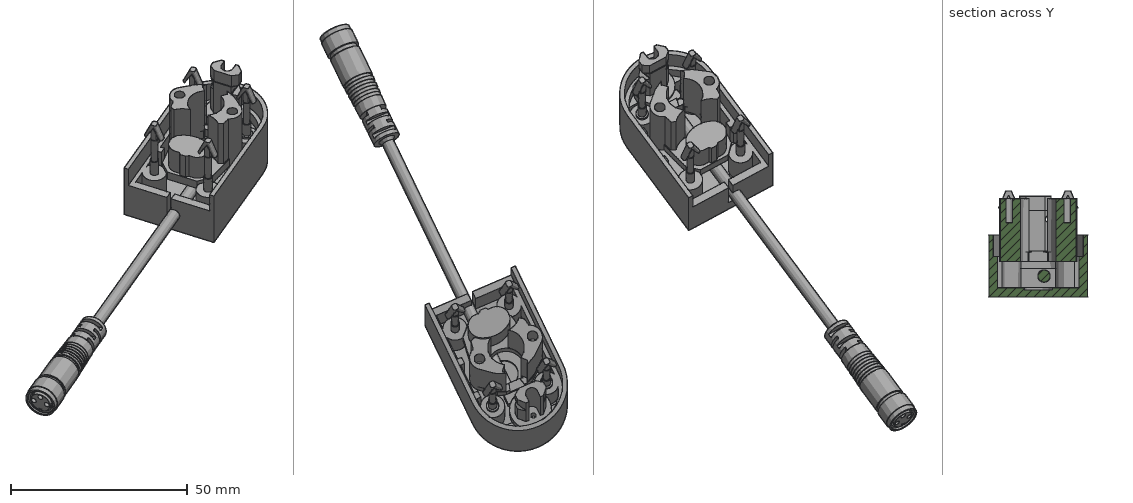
import cadquery as cq
import math

HOUSING_WIDTH = 28.2
HOUSING_RADIUS = HOUSING_WIDTH / 2
HOUSING_LENGTH = 46.6
WALL_TOP = 17.6
LEDGE_TOP = 11.5
FLOOR_TOP = 2.7
RIM_THICKNESS = 1.4
WALL_THICKNESS = 2.6
FRONT_WALL_THICKNESS = 2.3
ARC_CENTER_Y = HOUSING_LENGTH - HOUSING_RADIUS
TAB_DEPTH = 1.2
TAB_LENGTH = 2.0
TAB_CENTERS_Y = (17.7, 28.8)
REAR_SHELF_Y = 39.4
REAR_SHELF_TOP = 8.1
FLOOR_RECESS_Y = 23.3
FLOOR_RECESS_DIAMETER = 7.9
FLOOR_RECESS_DEPTH = 0.7

PIN_X = 8.4
PIN_FRONT_Y = 8.1
PIN_REAR_Y = 33.7
PIN_BOSS_DIAMETER = 6.9
REAR_COLLAR_DIAMETER = 3.5
REAR_COLLAR_HEIGHT = 0.7
PIN_BASE_DIAMETER = 2.5
PIN_BASE_TOP = 16.4
PIN_SHAFT_DIAMETER = 1.9
PIN_SHOULDER = 24.2
PIN_TOP = 30.0
PIN_CORE_WIDTH = 1.6
PIN_CORE_DEPTH = 1.4
BARB_BOTTOM = 24.9
BARB_REACH = 2.8
BARB_THICKNESS = 0.7
BARB_DEPTH = 1.9
CAP_HALF_WIDTH = 0.8
CAP_HEIGHT = 1.2
BARB_ROUNDING = 0.5

PLATE_TOP = 12.7
PLATE_BOTTOM = 10.0
PLATE_FRONT_Y = 8.7
PLATE_REAR_Y = 31.8
OPENING_CENTER_Y = 24.5
OPENING_RADIUS = 5.1
OPENING_HALF_WIDTH = 2.8
OPENING_REAR_Y = 29.8
OPENING_FRONT_Y = 19.4
CRESCENT_TOP = 27.9
CRESCENT_HOLE_X = 8.3
CRESCENT_HOLE_DIAMETER = 3.0
CRESCENT_HOLE_DEPTH = 6.8
BRIDGE_FRONT_Y = 32.4
BRIDGE_TOP = 12.2
BRIDGE_TAB_TOP = 13.0
OVAL_TOP = 20.6
OVAL_FRONT_Y = 9.6
OVAL_TONGUE_Y = 9.0

LATCH_X = -0.8
LATCH_PAD_Y = 39.4
LATCH_PAD_DIAMETER = 11.9
LATCH_TOP = 28.6
LATCH_FRONT_Y = 37.4
LATCH_REAR_Y = 42.3
LATCH_SIDE_FRONT_Y = 38.7
LATCH_SIDE_REAR_Y = 40.4
LATCH_HALF_WIDTH = 4.5
LATCH_FACE_HALF_WIDTH = 2.7
LATCH_STEP_Z = 24.5
LATCH_STEP = 0.3
LATCH_SLOT_WIDTH = 3.5
LATCH_SLOT_BOTTOM_Y = 38.6
LATCH_GROOVE_BOTTOM = 20.6
LATCH_GROOVE_TOP = 24.8
LATCH_GROOVE_FLOOR_BOTTOM = 21.7
LATCH_GROOVE_FLOOR_TOP = 22.2
LATCH_GROOVE_DEPTH = 1.6
SMALL_HOLE_DIAMETER = 1.5
SMALL_HOLES_Y = (35.8, 41.5)

CABLE_X = 1.6
CABLE_Z = 6.0
CABLE_DIAMETER = 3.5
CABLE_REAR_Y = 30.5
CABLE_SLOT_WIDTH = 1.4
CABLE_SLOT_BOTTOM = 3.5
PLUG_END_Y = HOUSING_LENGTH - 135.4
COLLAR_START_Y = -52.4
COLLAR_END_DIAMETER = 4.9
RELIEF_START_Y = -53.4
RELIEF_DIAMETER = 7.9
RELIEF_WEB = 4.0
GRIP_START_Y = -62.6
RELIEF_SLOTS = (
    (-54.6, -55.8, 0),
    (-57.0, -57.8, 90),
    (-59.0, -60.1, 0),
    (-61.3, GRIP_START_Y, 90),
)
GRIP_START_DIAMETER = 8.1
GRIP_END_Y = -74.0
PLUG_DIAMETER = 9.1
GRIP_GROOVE_START_Y = -65.8
GRIP_GROOVE_PITCH = 2.0
GRIP_GROOVE_WIDTH = GRIP_GROOVE_PITCH / 2
GRIP_GROOVE_COUNT = 4
GRIP_GROOVE_DIAMETER = 8.1
NUT_GROOVE_START_Y = -81.7
NUT_START_Y = -82.9
NUT_DIAMETER = 9.5
NUT_LIP_Y = -87.4
SOCKET_DIAMETER = 8.1
SOCKET_RIM_DEPTH = 0.7
SOCKET_INNER_DIAMETER = 6.9
SOCKET_DEPTH = 2.0
INSERT_DIAMETER = 6.0
KEYWAY_WIDTH = 0.9
KEYWAY_DEPTH = 0.7
CONTACT_DIAMETER = 1.5
CONTACT_RADIUS = 2.0
CONTACT_DEPTH = 2.7


def slab(outline, bottom, top):
    """Extrude a closed XY outline between two heights."""
    return outline.extrude(top - bottom).translate((0, 0, bottom))


def box(x_min, x_max, y_min, y_max, z_min, z_max):
    """Box given by its limits on the three axes."""
    size = (x_max - x_min, y_max - y_min, z_max - z_min)
    return cq.Workplane("XY").box(*size, centered=False).translate((x_min, y_min, z_min))


def rod(x, y, diameter, bottom, top):
    """Vertical cylinder."""
    return slab(cq.Workplane("XY").center(x, y).circle(diameter / 2), bottom, top)


def arch(half_width, front_y):
    """Outline with a straight front and a rear half circle about the housing arc center."""
    return (
        cq.Workplane("XY")
        .moveTo(-half_width, front_y)
        .lineTo(half_width, front_y)
        .lineTo(half_width, ARC_CENTER_Y)
        .threePointArc((0, ARC_CENTER_Y + half_width), (-half_width, ARC_CENTER_Y))
        .close()
    )


def mirrored_pair(solid):
    """A solid together with its mirror image across X = 0."""
    return solid.union(solid.mirror("YZ"))


def make_pocket():
    """Space inside the tray below the ledge, with side tabs and a rear shelf left standing."""
    half_width = HOUSING_RADIUS - WALL_THICKNESS
    pocket = slab(arch(half_width, FRONT_WALL_THICKNESS), FLOOR_TOP, LEDGE_TOP)
    for y in TAB_CENTERS_Y:
        tab = box(half_width - TAB_DEPTH, half_width, y - TAB_LENGTH / 2, y + TAB_LENGTH / 2,
                  FLOOR_TOP, LEDGE_TOP)
        pocket = pocket.cut(mirrored_pair(tab))
    shelf = box(-half_width, half_width, REAR_SHELF_Y, HOUSING_LENGTH, FLOOR_TOP, REAR_SHELF_TOP)
    return pocket.cut(shelf)


def make_housing(pocket):
    body = slab(arch(HOUSING_RADIUS, 0), 0, WALL_TOP)
    rim_space = slab(arch(HOUSING_RADIUS - RIM_THICKNESS, 0), LEDGE_TOP, WALL_TOP)
    recess = rod(0, FLOOR_RECESS_Y, FLOOR_RECESS_DIAMETER, FLOOR_TOP - FLOOR_RECESS_DEPTH, FLOOR_TOP)
    slot = box(-CABLE_SLOT_WIDTH / 2, CABLE_SLOT_WIDTH / 2, 0, FRONT_WALL_THICKNESS,
               CABLE_SLOT_BOTTOM, LEDGE_TOP)
    return body.cut(rim_space).cut(pocket).cut(recess).cut(slot)


def make_pin():
    """Snap pin on the Z axis: stepped shaft, narrow core and two barbs spreading downward."""
    shaft = rod(0, 0, PIN_BASE_DIAMETER, LEDGE_TOP, PIN_BASE_TOP)
    shaft = shaft.union(rod(0, 0, PIN_SHAFT_DIAMETER, PIN_BASE_TOP, PIN_SHOULDER))
    core = box(-PIN_CORE_WIDTH / 2, PIN_CORE_WIDTH / 2, -PIN_CORE_DEPTH / 2, PIN_CORE_DEPTH / 2,
               PIN_SHOULDER, PIN_TOP)
    barb_end_z = BARB_BOTTOM + BARB_THICKNESS / 2
    outer_slope = cq.Vector(BARB_REACH - CAP_HALF_WIDTH, 0, barb_end_z - PIN_TOP)
    barb = (
        cq.Workplane("XZ")
        .polyline([
            (0, PIN_TOP),
            (CAP_HALF_WIDTH, PIN_TOP),
            (BARB_REACH, barb_end_z),
            (BARB_REACH - BARB_THICKNESS, BARB_BOTTOM),
            (0, PIN_TOP - CAP_HEIGHT),
        ])
        .close()
        .extrude(BARB_DEPTH / 2, both=True)
        .edges(cq.selectors.ParallelDirSelector(outer_slope))
        .fillet(BARB_ROUNDING)
    )
    return shaft.union(core).union(mirrored_pair(barb))


def make_pin_bosses(pocket):
    """Four round bosses, trimmed where they run into the tray wall."""
    bosses = None
    for x in (-PIN_X, PIN_X):
        for y in (PIN_FRONT_Y, PIN_REAR_Y):
            boss = rod(x, y, PIN_BOSS_DIAMETER, FLOOR_TOP, LEDGE_TOP)
            bosses = boss if bosses is None else bosses.union(boss)
    return bosses.intersect(pocket)


def make_crescents():
    """Two mirrored posts whose inner sides wrap around the plate opening."""
    crescent = (
        cq.Workplane("XY")
        .moveTo(-2.6, 29.0)
        .lineTo(-3.9, 30.6)
        .lineTo(-3.3, 31.7)
        .lineTo(-6.2, 30.2)
        .lineTo(-9.9, 27.1)
        .threePointArc((-11.0, 24.5), (-9.5, 21.5))
        .lineTo(-8.7, 21.1)
        .lineTo(-8.3, 18.7)
        .lineTo(-6.9, 18.0)
        .threePointArc((-4.9, 19.5), (-2.7, 20.0))
        .threePointArc((-OPENING_RADIUS, OPENING_CENTER_Y), (-2.6, 29.0))
        .close()
    )
    post = slab(crescent, PLATE_BOTTOM, CRESCENT_TOP)
    hole = rod(-CRESCENT_HOLE_X, OPENING_CENTER_Y, CRESCENT_HOLE_DIAMETER,
               CRESCENT_TOP - CRESCENT_HOLE_DEPTH, CRESCENT_TOP)
    return mirrored_pair(post.cut(hole))


def make_plate():
    """Carrier plate spanning the pin bosses, open above the cable."""
    outline = (
        cq.Workplane("XY")
        .polyline([
            (-4.6, PLATE_FRONT_Y), (4.6, PLATE_FRONT_Y), (7.6, 11.6), (9.0, 21.3), (9.9, 27.1),
            (5.5, 30.9), (3.3, PLATE_REAR_Y), (-3.3, PLATE_REAR_Y), (-5.5, 30.9),
            (-9.9, 27.1), (-9.0, 21.3), (-7.6, 11.6),
        ])
        .close()
    )
    plate = slab(outline, PLATE_BOTTOM, PLATE_TOP)
    opening = rod(0, OPENING_CENTER_Y, 2 * OPENING_RADIUS, PLATE_BOTTOM, PLATE_TOP)
    opening = opening.union(box(-OPENING_HALF_WIDTH, OPENING_HALF_WIDTH, OPENING_CENTER_Y, OPENING_REAR_Y,
                                PLATE_BOTTOM, PLATE_TOP))
    opening = opening.intersect(box(-OPENING_RADIUS, OPENING_RADIUS, OPENING_FRONT_Y, OPENING_REAR_Y,
                                    PLATE_BOTTOM, PLATE_TOP))
    return plate.cut(opening)


def make_oval():
    """Low rounded block near the front of the plate, with a small tongue on its front side."""
    outline = (
        cq.Workplane("XY")
        .moveTo(-2.8, OVAL_FRONT_Y)
        .lineTo(-1.2, OVAL_FRONT_Y)
        .lineTo(-0.8, OVAL_TONGUE_Y)
        .lineTo(1.0, OVAL_TONGUE_Y)
        .lineTo(1.8, OVAL_FRONT_Y)
        .lineTo(3.4, OVAL_FRONT_Y)
        .threePointArc((6.2, 12.7), (4.9, 16.1))
        .threePointArc((0.1, 17.6), (-4.6, 16.1))
        .threePointArc((-6.0, 12.7), (-2.8, OVAL_FRONT_Y))
        .close()
    )
    return slab(outline, PLATE_BOTTOM, OVAL_TOP)


def make_latch():
    """Eight-sided post with a rear U slot and side grooves, standing on a round pad."""
    def eight_sided(front_y):
        return (
            cq.Workplane("XY")
            .polyline([
                (-LATCH_FACE_HALF_WIDTH, front_y), (LATCH_FACE_HALF_WIDTH, front_y),
                (LATCH_HALF_WIDTH, LATCH_SIDE_FRONT_Y), (LATCH_HALF_WIDTH, LATCH_SIDE_REAR_Y),
                (LATCH_FACE_HALF_WIDTH, LATCH_REAR_Y), (-LATCH_FACE_HALF_WIDTH, LATCH_REAR_Y),
                (-LATCH_HALF_WIDTH, LATCH_SIDE_REAR_Y), (-LATCH_HALF_WIDTH, LATCH_SIDE_FRONT_Y),
            ])
            .close()
        )

    post = slab(eight_sided(LATCH_FRONT_Y), PLATE_BOTTOM, LATCH_TOP)
    post = post.union(slab(eight_sided(LATCH_FRONT_Y - LATCH_STEP), PLATE_BOTTOM, LATCH_STEP_Z))
    slot_center_y = LATCH_SLOT_BOTTOM_Y + LATCH_SLOT_WIDTH / 2
    post = post.cut(rod(0, slot_center_y, LATCH_SLOT_WIDTH, PLATE_TOP, LATCH_TOP))
    post = post.cut(box(-LATCH_SLOT_WIDTH / 2, LATCH_SLOT_WIDTH / 2, slot_center_y, LATCH_REAR_Y,
                        PLATE_TOP, LATCH_TOP))
    groove = (
        cq.Workplane("XZ")
        .polyline([
            (LATCH_HALF_WIDTH, LATCH_GROOVE_BOTTOM),
            (LATCH_HALF_WIDTH, LATCH_GROOVE_TOP),
            (LATCH_HALF_WIDTH - LATCH_GROOVE_DEPTH, LATCH_GROOVE_FLOOR_TOP),
            (LATCH_HALF_WIDTH - LATCH_GROOVE_DEPTH, LATCH_GROOVE_FLOOR_BOTTOM),
        ])
        .close()
        .extrude(-HOUSING_LENGTH)
    )
    post = post.cut(mirrored_pair(groove)).translate((LATCH_X, 0, 0))
    pad = rod(LATCH_X, LATCH_PAD_Y, LATCH_PAD_DIAMETER, PLATE_BOTTOM, PLATE_TOP)
    inner_radius = HOUSING_RADIUS - WALL_THICKNESS
    pad_limit = slab(arch(inner_radius, FRONT_WALL_THICKNESS), PLATE_BOTTOM, PLATE_TOP)
    latch = pad.intersect(pad_limit).union(post)
    for y in SMALL_HOLES_Y:
        latch = latch.cut(rod(LATCH_X, y, SMALL_HOLE_DIAMETER, PLATE_BOTTOM, PLATE_TOP))
    return latch


def make_bridge():
    """Low wedge-shaped block and tapered tab between the latch pad and the carrier plate."""
    block_outline = (
        cq.Workplane("XY")
        .polyline([(-1.0, BRIDGE_FRONT_Y), (4.2, BRIDGE_FRONT_Y), (4.2, 35.2), (0.7, 35.2)])
        .close()
    )
    tab_outline = (
        cq.Workplane("XY")
        .polyline([
            (-1.9, OPENING_REAR_Y), (1.5, OPENING_REAR_Y),
            (2.3, BRIDGE_FRONT_Y), (-2.5, BRIDGE_FRONT_Y),
        ])
        .close()
    )
    block = slab(block_outline, PLATE_BOTTOM, BRIDGE_TOP)
    return block.union(slab(tab_outline, PLATE_BOTTOM, BRIDGE_TAB_TOP))


def along_cable(radius, start_y, end_y, end_radius=None):
    """Round or conical stretch on the cable axis, running toward -Y."""
    end_radius = radius if end_radius is None else end_radius
    return (
        cq.Workplane("XY")
        .polyline([(0, start_y), (radius, start_y), (end_radius, end_y), (0, end_y)])
        .close()
        .revolve(360, (0, 0, 0), (0, 1, 0))
        .translate((CABLE_X, 0, CABLE_Z))
    )


def make_strain_relief():
    """Cylinder cut by slots, alternately from above and below and from both sides."""
    relief = along_cable(RELIEF_DIAMETER / 2, RELIEF_START_Y, GRIP_START_Y)
    outer = RELIEF_DIAMETER / 2
    web = RELIEF_WEB / 2
    for start_y, end_y, turn in RELIEF_SLOTS:
        slot = box(-outer, outer, end_y, start_y, web, outer)
        slot = slot.union(slot.mirror("XY")).rotate((0, 0, 0), (0, 1, 0), turn)
        relief = relief.cut(slot.translate((CABLE_X, 0, CABLE_Z)))
    return relief


def make_plug():
    plug = along_cable(CABLE_DIAMETER / 2, COLLAR_START_Y, RELIEF_START_Y, COLLAR_END_DIAMETER / 2)
    plug = plug.union(make_strain_relief())
    plug = plug.union(along_cable(GRIP_START_DIAMETER / 2, GRIP_START_Y, GRIP_END_Y, PLUG_DIAMETER / 2))
    for index in range(GRIP_GROOVE_COUNT):
        start_y = GRIP_GROOVE_START_Y - index * GRIP_GROOVE_PITCH
        ring = along_cable(NUT_DIAMETER / 2, start_y, start_y - GRIP_GROOVE_WIDTH)
        ring = ring.cut(along_cable(GRIP_GROOVE_DIAMETER / 2, start_y, start_y - GRIP_GROOVE_WIDTH))
        plug = plug.cut(ring)
    plug = plug.union(along_cable(PLUG_DIAMETER / 2, GRIP_END_Y, NUT_GROOVE_START_Y))
    plug = plug.union(along_cable(GRIP_GROOVE_DIAMETER / 2, NUT_GROOVE_START_Y, NUT_START_Y))
    plug = plug.union(along_cable(NUT_DIAMETER / 2, NUT_START_Y, NUT_LIP_Y))
    plug = plug.union(along_cable(PLUG_DIAMETER / 2, NUT_LIP_Y, PLUG_END_Y))
    socket = along_cable(SOCKET_DIAMETER / 2, PLUG_END_Y + SOCKET_RIM_DEPTH, PLUG_END_Y)
    socket = socket.union(along_cable(SOCKET_INNER_DIAMETER / 2, PLUG_END_Y + SOCKET_DEPTH, PLUG_END_Y))
    insert = along_cable(INSERT_DIAMETER / 2, PLUG_END_Y + SOCKET_DEPTH, PLUG_END_Y)
    keyway_bottom = CABLE_Z - INSERT_DIAMETER / 2
    keyway = box(CABLE_X - KEYWAY_WIDTH / 2, CABLE_X + KEYWAY_WIDTH / 2,
                 PLUG_END_Y, PLUG_END_Y + SOCKET_DEPTH, keyway_bottom, keyway_bottom + KEYWAY_DEPTH)
    plug = plug.cut(socket.cut(insert)).cut(keyway)
    for angle in (0, 90, 180):
        x = CONTACT_RADIUS * math.cos(math.radians(angle))
        z = CONTACT_RADIUS * math.sin(math.radians(angle))
        contact = along_cable(CONTACT_DIAMETER / 2, PLUG_END_Y + CONTACT_DEPTH, PLUG_END_Y)
        plug = plug.cut(contact.translate((x, 0, z)))
    return plug


pocket = make_pocket()
result = make_housing(pocket).union(make_pin_bosses(pocket))
result = result.union(make_plate()).union(make_crescents()).union(make_oval())
result = result.union(make_latch()).union(make_bridge())
pin = make_pin()
for pin_x in (-PIN_X, PIN_X):
    for pin_y in (PIN_FRONT_Y, PIN_REAR_Y):
        result = result.union(pin.translate((pin_x, pin_y, 0)))
    collar_top = LEDGE_TOP + REAR_COLLAR_HEIGHT
    result = result.union(rod(pin_x, PIN_REAR_Y, REAR_COLLAR_DIAMETER, LEDGE_TOP, collar_top))
result = result.union(along_cable(CABLE_DIAMETER / 2, CABLE_REAR_Y, COLLAR_START_Y))
result = result.union(make_plug())